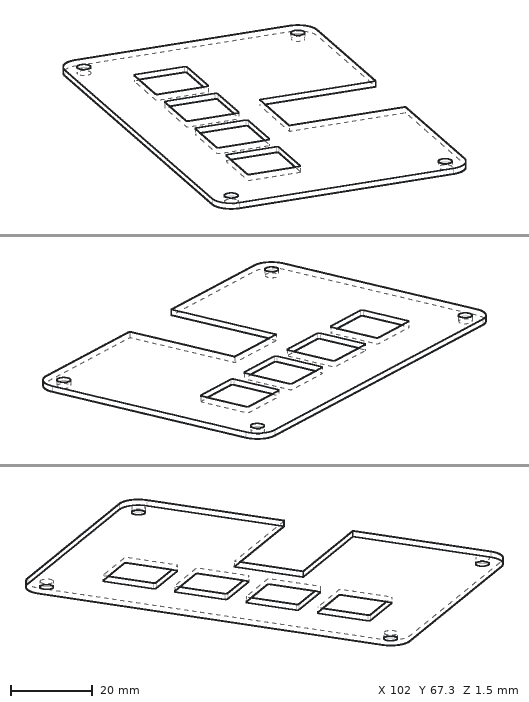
import cadquery as cq

length = 102.0
width = 67.3
thickness = 1.5
corner_radius = 5.1

hole_diameter = 3.4
hole_spacing_x = length - 2 * corner_radius
hole_spacing_y = width - 2 * corner_radius

notch_width = 18.4
notch_depth = 31.0

key_count = 4
key_size = 14.1
key_pitch = 19.1
key_corner_radius = 0.5
key_row_x = -0.7
key_row_y = -12.3


def make_plate():
    plate = cq.Workplane("XY").box(length, width, thickness)
    return plate.edges("|Z").fillet(corner_radius)


def make_screw_holes():
    return (
        cq.Workplane("XY")
        .rect(hole_spacing_x, hole_spacing_y, forConstruction=True)
        .vertices()
        .circle(hole_diameter / 2)
        .extrude(thickness, both=True)
    )


def make_notch():
    notch_center_y = (width - notch_depth) / 2
    return (
        cq.Workplane("XY")
        .center(0, notch_center_y)
        .rect(notch_width, notch_depth)
        .extrude(thickness, both=True)
    )


def make_key_openings():
    openings = (
        cq.Workplane("XY")
        .center(key_row_x, key_row_y)
        .rarray(key_pitch, 1, key_count, 1)
        .rect(key_size, key_size)
        .extrude(thickness, both=True)
    )
    return openings.edges("|Z").fillet(key_corner_radius)


result = (
    make_plate()
    .cut(make_screw_holes())
    .cut(make_notch())
    .cut(make_key_openings())
)